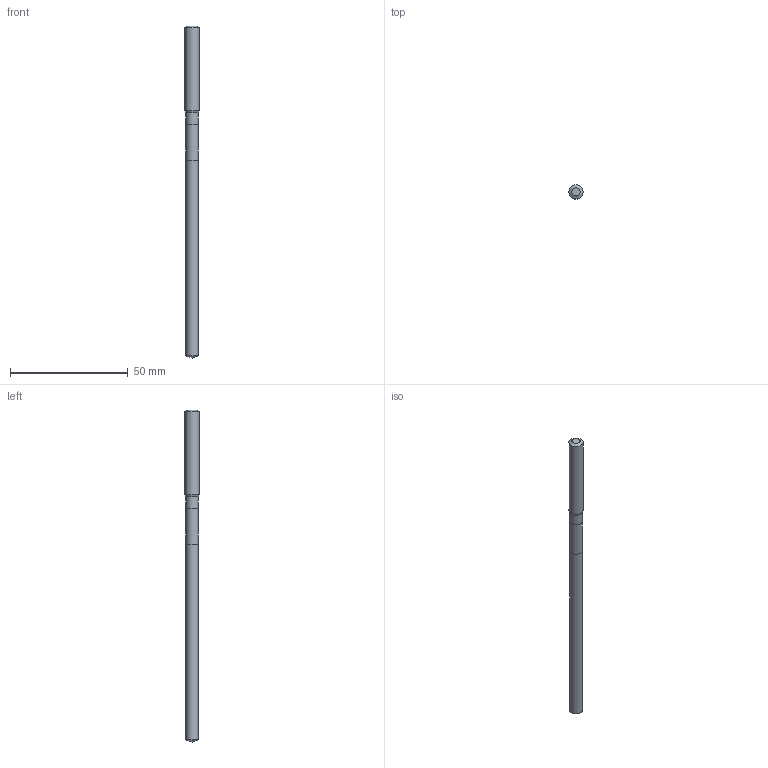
import cadquery as cq
import math

overall_length = 141.0
shank_length = 36.0
flute_length = 99.2
usable_length = 84.0

drill_radius = 5.38 / 2
point_angle = 140.0
point_height = drill_radius / math.tan(math.radians(point_angle / 2))

shank_radius = 6.0 / 2
end_face_radius = 1.75
chamfer_angle = 30.0
chamfer_height = (shank_radius - end_face_radius) * math.tan(math.radians(chamfer_angle))
taper_height = 0.8
shank_bottom = overall_length - shank_length
neck_top = shank_bottom - taper_height


def revolve_profile(profile):
    """Revolve (radius, height) points, which start and end on the Z axis, into one solid.

    Without cleaning, collinear points keep their seams between faces.
    """
    return cq.Workplane("XZ").polyline(profile).close().revolve(360, (0, 0), (0, 1), clean=False)


def make_cutting_part():
    """Fluted length as a plain cylinder with a conical point; a seam marks the usable length."""
    return revolve_profile([
        (0, 0),
        (drill_radius, point_height),
        (drill_radius, usable_length),
        (drill_radius, flute_length),
        (0, flute_length),
    ])


def make_shank():
    """Plain neck standing on the cutting part, tapering out to the clamping shank."""
    return revolve_profile([
        (0, flute_length),
        (drill_radius, flute_length),
        (drill_radius, neck_top),
        (shank_radius, shank_bottom),
        (shank_radius, overall_length - chamfer_height),
        (end_face_radius, overall_length),
        (0, overall_length),
    ])


cutting_part = make_cutting_part()
shank = make_shank()

result = cq.Compound.makeCompound([cutting_part.val(), shank.val()])